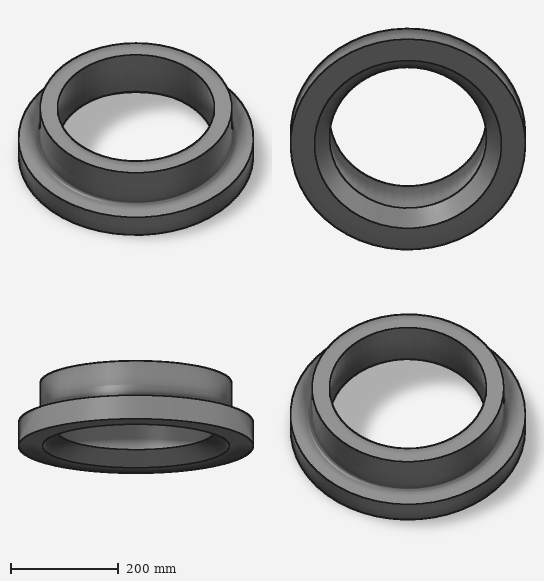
import cadquery as cq
import math

flange_radius = 217.5
flange_height = 45.0

total_height = 120.0
neck_radius = 177.5
bore_radius = 145.5
bore_chamfer = 28.0

taper_top = 75.0
blend_top = 51.8
blend_top_radius = 180.0
blend_foot_radius = 188.0

blend_rise = blend_top - flange_height
blend_run = blend_foot_radius - blend_top_radius
blend_radius = (blend_run**2 + blend_rise**2) / (2 * blend_rise)
half_sweep = math.atan2(blend_rise, blend_run)
blend_middle = (
    blend_foot_radius - blend_radius * math.sin(half_sweep),
    flange_height + blend_radius * (1 - math.cos(half_sweep)),
)

section = (
    cq.Workplane("XZ")
    .moveTo(bore_radius, bore_chamfer)
    .lineTo(bore_radius + bore_chamfer, 0)
    .lineTo(flange_radius, 0)
    .lineTo(flange_radius, flange_height)
    .lineTo(blend_foot_radius, flange_height)
    .threePointArc(blend_middle, (blend_top_radius, blend_top))
    .lineTo(neck_radius, taper_top)
    .lineTo(neck_radius, total_height)
    .lineTo(bore_radius, total_height)
    .close()
)

result = section.revolve(360, (0, 0, 0), (0, 1, 0))